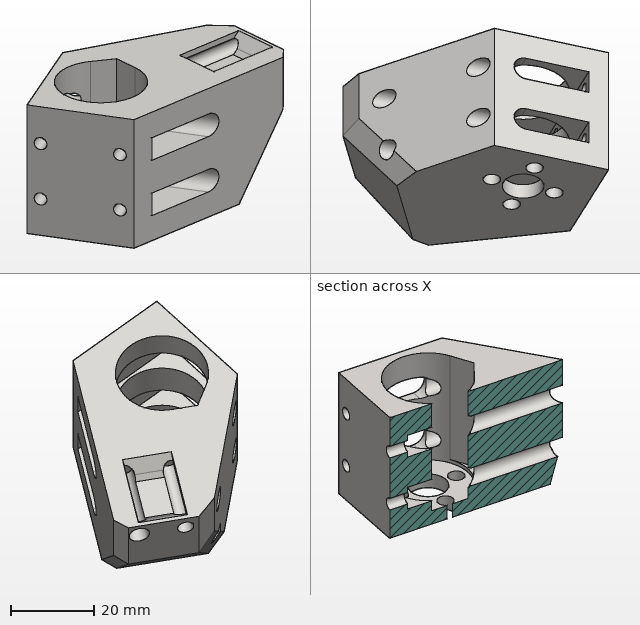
import cadquery as cq
import math

height = 34.7
base_width = 26.95
left_side = 29.3
arm_angle = 60
back_angle = 40
arm_reach = 65.5
end_kink_height = 20.1
end_lean = 35

chamfer_on_end = 3.0
chamfer_on_right = 3.0
chamfer_on_back = 5.05
right_chamfer_rise = 0.45
back_chamfer_rise = 1.3

bore_x = 13.45
bore_y = 17.0
bore_diameter = 22.45
bore_floor = 4.0
teardrop_floor = 5.0
peak_slope = 30
shaft_diameter = 10.0
screw_diameter = 4.2
screw_circle_radius = 8.0

levels = (9.85, 24.75)
slot_width = 6.1
slot_start = 5.1
slot_end = 24.2
hole_diameter = 3.2
counterbore_diameter = 5.0
counterbore_floor = 23.0
hole_spacing = 20.0
hole_xs = (3.4, 3.4 + hole_spacing)

window_width = 12.0
window_length = 19.35
window_end = 64.45
window_centre = -11.6
window_break_inset = 2.9
window_break_depth = 2.95
window_floor_inset = 4.15
window_floor_depth = 4.15
left_channel_diameter = 4.0
right_channel_diameter = 5.0
left_channel_inset = 0.65
right_channel_inset = -0.05
channel_depth = 3.5
margin = 11.05


def direction(angle):
    """Horizontal unit vector at an angle from X."""
    return cq.Vector(math.cos(math.radians(angle)), math.sin(math.radians(angle)), 0)


up = cq.Vector(0, 0, 1)
along_arm = direction(arm_angle)
along_back = direction(back_angle)
across_arm = direction(arm_angle + 90)

back_start = cq.Vector(0, left_side, 0)
right_start = cq.Vector(base_width, 0, 0)
back_length = (arm_reach - back_start.dot(along_arm)) / along_back.dot(along_arm)
right_length = arm_reach - right_start.dot(along_arm)
back_corner = back_start + along_back * back_length
right_corner = right_start + along_arm * right_length


def arm_plane(across):
    """Vertical plane along the arm: local x along the arm, local y up."""
    return cq.Plane(origin=across_arm * across, xDir=along_arm, normal=across_arm * -1)


def make_body():
    corners = [cq.Vector(), right_start, right_corner, back_corner, back_start]
    return cq.Workplane("XY").polyline([(p.x, p.y) for p in corners]).close().extrude(height)


def make_end_lean():
    """Wedge below the kink, across the whole end face."""
    setback = end_kink_height * math.tan(math.radians(end_lean))
    wedge = [(arm_reach, end_kink_height), (arm_reach - setback, 0), (arm_reach, 0)]
    return cq.Workplane(arm_plane(0)).polyline(wedge).close().extrude(arm_reach, both=True)


def make_chamfer_cutter(corner, along_side, toward_end, side_leg, rise):
    """Triangular cutter following a corner up its vertical and down its leaning edge."""
    tip = corner + up * end_kink_height
    on_end = tip + toward_end * chamfer_on_end
    on_side = tip - along_side * side_leg + up * rise
    triangle = cq.Wire.makePolygon([tip, on_end, on_side], close=True)
    setback = math.tan(math.radians(end_lean)) / along_side.dot(along_arm)
    down_edge = (along_side * setback + up) * -1
    upper = cq.Solid.extrudeLinear(triangle, [], up * height)
    lower = cq.Solid.extrudeLinear(triangle, [], down_edge * height)
    return cq.Workplane(upper).union(cq.Workplane(lower))


def make_bore():
    """Round bore with a flat-sided peak toward +Y, over a stepped floor."""
    radius = bore_diameter / 2
    slope = math.radians(peak_slope)
    tangent_x = radius * math.sin(slope)
    tangent_y = radius * math.cos(slope)
    peak = radius / math.cos(slope)
    centre = cq.Workplane("XY").center(bore_x, bore_y)
    bore = centre.workplane(offset=bore_floor).circle(radius).extrude(height)
    teardrop = (
        centre.workplane(offset=teardrop_floor)
        .moveTo(tangent_x, tangent_y)
        .lineTo(0, peak)
        .lineTo(-tangent_x, tangent_y)
        .lineTo(0, 0)
        .close()
        .extrude(height)
    )
    shaft = centre.circle(shaft_diameter / 2).extrude(height)
    screws = centre.polarArray(screw_circle_radius, 0, 360, 4).circle(screw_diameter / 2).extrude(height)
    return bore.union(teardrop).union(shaft).union(screws)


def make_slot(level):
    """Slot through X, square toward -Y and round toward +Y."""
    radius = slot_width / 2
    return (
        cq.Workplane("YZ")
        .moveTo(slot_start, level - radius)
        .lineTo(slot_end - radius, level - radius)
        .threePointArc((slot_end, level), (slot_end - radius, level + radius))
        .lineTo(slot_start, level + radius)
        .close()
        .extrude(2 * base_width)
    )


def make_cross_hole(x, level):
    """Hole through Y, counterbored from the back."""
    plane = cq.Workplane("XZ").center(x, level)
    hole = plane.circle(hole_diameter / 2).extrude(-2 * arm_reach)
    counterbore = (
        plane.workplane(offset=-counterbore_floor)
        .circle(counterbore_diameter / 2)
        .extrude(-arm_reach)
    )
    return hole.union(counterbore)


def make_window():
    start = window_end - window_length
    profile = [
        (start, height),
        (start + window_break_inset, height - window_break_depth),
        (start + window_floor_inset, height - window_floor_depth),
        (window_end - window_floor_inset, height - window_floor_depth),
        (window_end - window_break_inset, height - window_break_depth),
        (window_end, height),
    ]
    plane = arm_plane(window_centre)
    window = cq.Workplane(plane).polyline(profile).close().extrude(window_width / 2, both=True)
    channels = (
        (1, left_channel_diameter, left_channel_inset),
        (-1, right_channel_diameter, right_channel_inset),
    )
    for side, diameter, inset in channels:
        across = window_centre + side * (window_width / 2 - inset)
        origin = across_arm * across + along_arm * start + up * (height - channel_depth)
        channel = cq.Solid.makeCylinder(diameter / 2, window_length + margin, origin, along_arm)
        window = window.union(cq.Workplane(channel))
    return window


result = make_body().cut(make_end_lean())
result = result.cut(
    make_chamfer_cutter(right_corner, along_arm, across_arm, chamfer_on_right, right_chamfer_rise)
)
result = result.cut(
    make_chamfer_cutter(back_corner, along_back, across_arm * -1, chamfer_on_back, back_chamfer_rise)
)
result = result.cut(make_bore())
for level in levels:
    result = result.cut(make_slot(level))
    for x in hole_xs:
        result = result.cut(make_cross_hole(x, level))
result = result.cut(make_window())